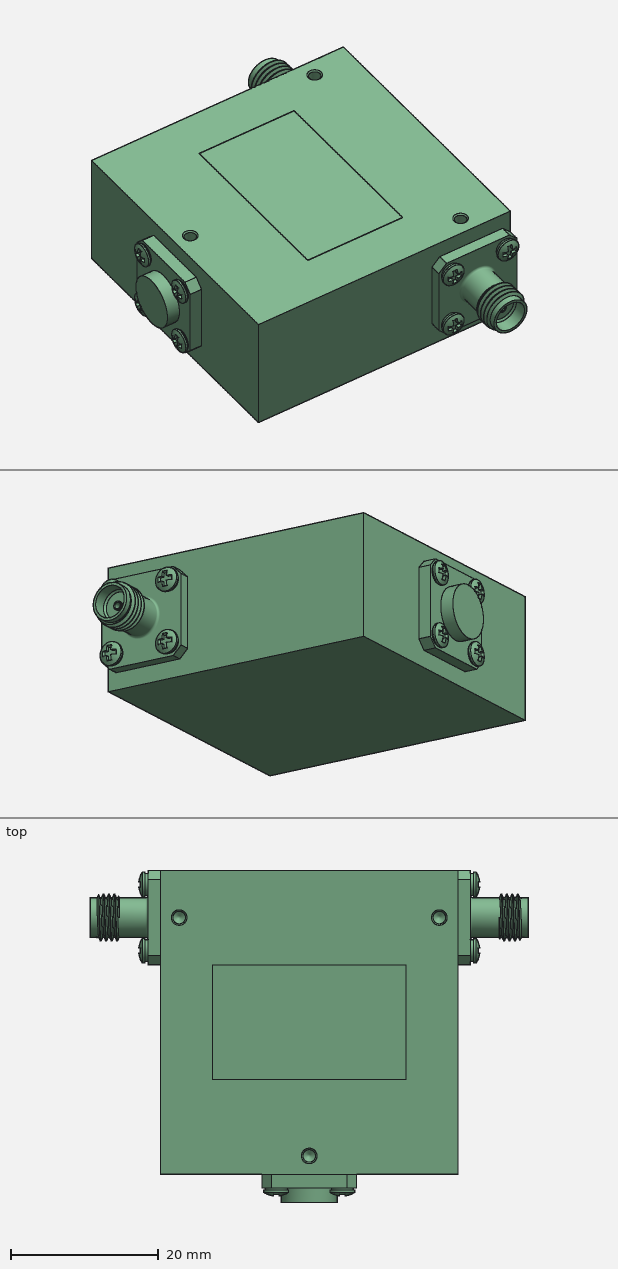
import cadquery as cq
import math

body_x = 40.3
body_y = 41.15
total_z = 17.86
label_thickness = 0.08
body_z = total_z - label_thickness
label_x = 26.2
label_y = 15.5

total_x = 59.28
total_y = 44.96
connector_length = (total_x - body_x) / 2
plug_length = total_y - body_y

hole_diameter = 1.7
hole_rim_diameter = 2.1
hole_depth = 5.0
drill_point_angle = 118
hole_pair_x = 17.6
hole_pair_inset = 6.4
single_hole_inset = 2.5

flange_size = 12.8
flange_corner = 1.27
flange_thickness = 1.65
plug_flange_thickness = 1.85
plug_diameter = 7.62
port_y = body_y / 2 - flange_size / 2

screw_spacing = 8.95
screw_neck_radius = 1.5
screw_rim_radius = 1.7
screw_rim_bottom = 2.1
screw_rim_top = 2.42
screw_top = 2.97
recess_length = 2.5
recess_floor_length = 1.8
recess_width = 0.7
recess_depth = 0.6

barrel_radius = 2.7
barrel_base_fillet = 0.33
bore_radius = 2.3
bore_floor_radius = 2.0
bore_cone_length = 0.25
bore_depth = 2.2
pin_radius = 0.63
pin_socket_radius = 0.45
pin_length = 0.3
pin_socket_depth = 1.5

thread_crest_radius = 3.17
thread_pitch = 0.74
thread_turns = 5
thread_base_width = 0.64
thread_crest_width = 0.1
thread_embed = 0.1
thread_crest_gap = 0.5
thread_front_gap = 0.92
thread_length = 3.05
thread_end_bevel = 0.25


def make_housing():
    housing = cq.Workplane("XY").box(body_x, body_y, body_z)
    label = (
        cq.Workplane("XY")
        .workplane(offset=body_z / 2)
        .rect(label_x, label_y)
        .extrude(label_thickness)
    )
    return housing.union(label)


def make_mounting_hole(x, y):
    """Blind drilled hole with a small countersunk rim, as a cutting solid."""
    radius = hole_diameter / 2
    rim_radius = hole_rim_diameter / 2
    rim_depth = rim_radius - radius
    point_depth = radius / math.tan(math.radians(drill_point_angle / 2))
    profile = [
        (0, 0),
        (rim_radius, 0),
        (radius, -rim_depth),
        (radius, -hole_depth),
        (0, -hole_depth - point_depth),
    ]
    hole = cq.Workplane("XZ").polyline(profile).close().revolve(360, (0, 0), (0, 1))
    return hole.translate((x, y, body_z / 2))


def make_flange(thickness):
    """Square plate with chamfered corners, standing on Z = 0."""
    plate = cq.Workplane("XY").rect(flange_size, flange_size).extrude(thickness)
    return plate.edges("|Z").chamfer(flange_corner)


def make_screw():
    """Domed screw head with a cross recess, its axis along Z."""
    dome_height = screw_top - screw_rim_top
    dome_radius = (screw_rim_radius**2 + dome_height**2) / (2 * dome_height)
    middle_radius = screw_rim_radius / 2
    middle_height = screw_top - dome_radius + math.sqrt(dome_radius**2 - middle_radius**2)
    head = (
        cq.Workplane("XZ")
        .lineTo(screw_neck_radius, 0)
        .lineTo(screw_neck_radius, screw_rim_bottom)
        .lineTo(screw_rim_radius, screw_rim_bottom)
        .lineTo(screw_rim_radius, screw_rim_top)
        .threePointArc((middle_radius, middle_height), (0, screw_top))
        .close()
        .revolve(360, (0, 0), (0, 1))
    )
    arm = (
        cq.Workplane("XZ")
        .polyline([
            (-recess_floor_length / 2, screw_top - recess_depth),
            (recess_floor_length / 2, screw_top - recess_depth),
            (recess_length / 2, screw_top),
            (-recess_length / 2, screw_top),
        ])
        .close()
        .extrude(recess_width / 2, both=True)
    )
    cross_arm = arm.rotate((0, 0, 0), (0, 0, 1), 90)
    return head.cut(arm).cut(cross_arm)


def add_screws(port):
    screw = make_screw()
    offset = screw_spacing / 2
    for x in (-offset, offset):
        for y in (-offset, offset):
            port = port.union(screw.translate((x, y, 0)))
    return port


def make_thread():
    """Right-handed helical ridge around the barrel, trimmed to bevelled ends."""
    root_radius = barrel_radius - thread_embed
    height = thread_pitch * thread_turns
    start = connector_length - thread_crest_gap - height
    path = cq.Wire.makeHelix(thread_pitch, height, barrel_radius)
    ridge = (
        cq.Workplane("XZ")
        .polyline([
            (root_radius, -thread_base_width / 2),
            (thread_crest_radius, -thread_crest_width / 2),
            (thread_crest_radius, thread_crest_width / 2),
            (root_radius, thread_base_width / 2),
        ])
        .close()
        .sweep(cq.Workplane(path), isFrenet=True)
    )
    top = connector_length - thread_front_gap
    bottom = top - thread_length
    envelope = (
        cq.Workplane("XZ")
        .polyline([
            (0, bottom),
            (barrel_radius, bottom),
            (thread_crest_radius, bottom + thread_end_bevel),
            (thread_crest_radius, top - thread_end_bevel),
            (barrel_radius, top),
            (0, top),
        ])
        .close()
        .revolve(360, (0, 0), (0, 1))
    )
    return ridge.translate((0, 0, start)).intersect(envelope)


def make_coaxial_port():
    """Flanged female connector that stands on Z = 0 and points along +Z."""
    barrel = (
        cq.Workplane("XY")
        .workplane(offset=flange_thickness)
        .circle(barrel_radius)
        .extrude(connector_length - flange_thickness)
    )
    port = make_flange(flange_thickness).union(barrel)
    base_edge = cq.selectors.BoxSelector(
        (-barrel_radius - 0.1, -barrel_radius - 0.1, flange_thickness - 0.1),
        (barrel_radius + 0.1, barrel_radius + 0.1, flange_thickness + 0.1),
        boundingbox=True,
    )
    port = port.edges(base_edge).fillet(barrel_base_fillet)
    port = port.union(make_thread())
    bore_floor = connector_length - bore_depth
    bore = (
        cq.Workplane("XZ")
        .polyline([
            (0, bore_floor),
            (bore_floor_radius, bore_floor),
            (bore_radius, bore_floor + bore_cone_length),
            (bore_radius, connector_length),
            (0, connector_length),
        ])
        .close()
        .revolve(360, (0, 0), (0, 1))
    )
    port = port.cut(bore)
    pin = cq.Workplane("XY").workplane(offset=bore_floor).circle(pin_radius).extrude(pin_length)
    socket = (
        cq.Workplane("XY")
        .workplane(offset=bore_floor + pin_length - pin_socket_depth)
        .circle(pin_socket_radius)
        .extrude(pin_socket_depth)
    )
    port = port.union(pin).cut(socket)
    return add_screws(port)


def make_plug_port():
    """Flanged round plug that stands on Z = 0 and points along +Z."""
    plug = cq.Workplane("XY").circle(plug_diameter / 2).extrude(plug_length)
    return add_screws(make_flange(plug_flange_thickness).union(plug))


left_port = (
    make_coaxial_port()
    .rotate((0, 0, 0), (0, 1, 0), -90)
    .translate((-body_x / 2, port_y, 0))
)
right_port = left_port.rotate((0, port_y, 0), (0, port_y, 1), 180)
front_port = (
    make_plug_port()
    .rotate((0, 0, 0), (1, 0, 0), 90)
    .translate((0, -body_y / 2, 0))
)

result = make_housing().union(left_port).union(right_port).union(front_port)

hole_pair_y = body_y / 2 - hole_pair_inset
single_hole_y = -body_y / 2 + single_hole_inset
for x, y in ((-hole_pair_x, hole_pair_y), (hole_pair_x, hole_pair_y), (0, single_hole_y)):
    result = result.cut(make_mounting_hole(x, y))